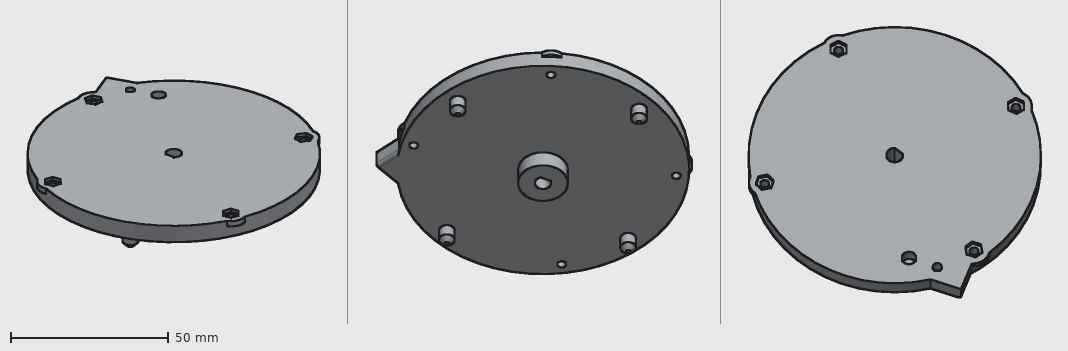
import cadquery as cq
import math

disc_diameter = 92.9
plate_thickness = 6.0
underside_depth = 5.95

ear_circle_radius = 42.5
ear_radius = 5.0
ear_thickness = 1.95
screw_diameter = 2.8
nut_across_corners = 5.8
nut_depth = 1.2
ears = [(33.5, 33.0), (146.5, 0.0), (225.0, -7.0), (315.0, -10.0)]

block_left = -36.5
block_top = 38.4
block_edge_radius = 1.2

blind_hole_y = 33.5
blind_hole_depth = 4.65
blind_holes = [(-26.7, 2.9), (-17.1, 4.6)]

boss_diameter = 15.8
bore_diameter = 5.2
bore_flat_offset = 1.95
bore_flat_angle = 249.0

pin_count = 4
pin_circle_radius = 40.8
pin_diameter = 5.0
pin_chamfer = 1.8


def cylinder(x, y, diameter, bottom, height):
    """Upright cylinder standing on the height 'bottom'."""
    return cq.Workplane("XY", origin=(x, y, bottom)).circle(diameter / 2).extrude(height)


def corner_block():
    """Square corner filling out the rim, rounded along its lower left edge."""
    block = cq.Workplane("XY").box(-block_left, block_top, plate_thickness, centered=False)
    return block.translate((block_left, 0, 0)).edges("<X and <Z").fillet(block_edge_radius)


def locating_pin(angle):
    """Pin hanging below the plate with a chamfered tip."""
    x = pin_circle_radius * math.cos(math.radians(angle))
    y = pin_circle_radius * math.sin(math.radians(angle))
    pin = cylinder(x, y, pin_diameter, -underside_depth, underside_depth)
    return pin.faces("<Z").chamfer(pin_chamfer)


def ear_centre(angle):
    """Position of a screw ear on its circle."""
    turn = math.radians(angle)
    return ear_circle_radius * math.cos(turn), ear_circle_radius * math.sin(turn)


def nut_pocket(x, y, rotation):
    """Hexagonal recess in the top face."""
    hexagon = cq.Workplane("XY").polygon(6, nut_across_corners).extrude(nut_depth)
    hexagon = hexagon.rotate((0, 0, 0), (0, 0, 1), rotation)
    return hexagon.translate((x, y, plate_thickness - nut_depth))


def shaft_bore():
    """Round bore with one flat, through the plate and the boss."""
    height = plate_thickness + underside_depth
    bore = cylinder(0, 0, bore_diameter, -underside_depth, height)
    keep = cq.Workplane("XY").box(2 * bore_diameter, 2 * bore_diameter, 2 * height)
    keep = keep.translate((bore_flat_offset - bore_diameter, 0, 0))
    return bore.intersect(keep.rotate((0, 0, 0), (0, 0, 1), bore_flat_angle))


result = cylinder(0, 0, disc_diameter, 0, plate_thickness)
result = result.union(corner_block())
result = result.union(cylinder(0, 0, boss_diameter, -underside_depth, underside_depth))

for index in range(pin_count):
    result = result.union(locating_pin(index * 360 / pin_count))

for ear_angle, nut_rotation in ears:
    ear_x, ear_y = ear_centre(ear_angle)
    ear_bottom = plate_thickness - ear_thickness
    result = result.union(cylinder(ear_x, ear_y, 2 * ear_radius, ear_bottom, ear_thickness))

for ear_angle, nut_rotation in ears:
    ear_x, ear_y = ear_centre(ear_angle)
    result = result.cut(cylinder(ear_x, ear_y, screw_diameter, 0, plate_thickness))
    result = result.cut(nut_pocket(ear_x, ear_y, nut_rotation))

for hole_x, hole_diameter in blind_holes:
    hole_bottom = plate_thickness - blind_hole_depth
    result = result.cut(cylinder(hole_x, blind_hole_y, hole_diameter, hole_bottom, blind_hole_depth))

result = result.cut(shaft_bore())